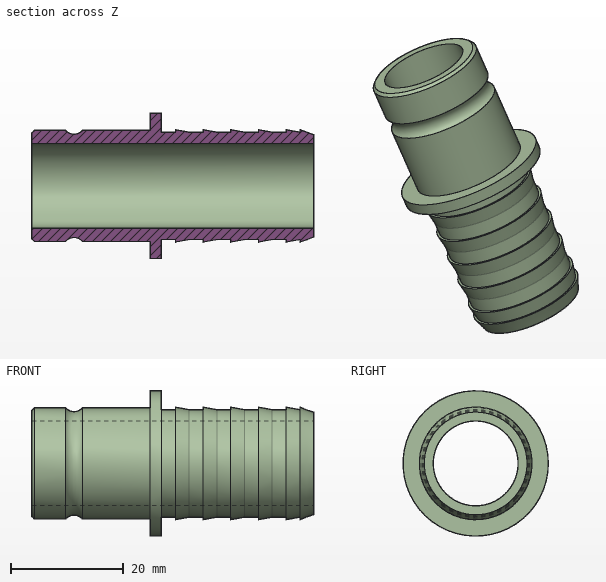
import cadquery as cq

length = 50.0
bore_radius = 7.5

plug_radius = 9.9
plug_chamfer = 0.5
groove_start = 6.0
groove_width = 3.0
groove_depth = 0.7

collar_start = 21.0
collar_width = 2.0
collar_radius = 12.9

tail_radius = 9.55
barb_crest_radius = 10.0
barb_count = 5

tip_radius = 9.1

groove_end = groove_start + groove_width
groove_middle = groove_start + groove_width / 2
groove_floor_radius = plug_radius - groove_depth
collar_end = collar_start + collar_width

tail_steps = 2 * barb_count + 1
barb_length = (length - collar_end) / tail_steps
barb_pitch = 2 * barb_length
first_barb_start = collar_end + barb_length
tip_start = first_barb_start + (barb_count - 1) * barb_pitch + barb_length


def add_plug(profile):
    """Chamfered mouth and a rounded seal groove, up to the collar."""
    return (
        profile.lineTo(0, plug_radius - plug_chamfer)
        .lineTo(plug_chamfer, plug_radius)
        .lineTo(groove_start, plug_radius)
        .threePointArc((groove_middle, groove_floor_radius), (groove_end, plug_radius))
        .lineTo(collar_start, plug_radius)
    )


def add_collar(profile):
    """Square-edged stop collar, down to the hose tail."""
    return (
        profile.lineTo(collar_start, collar_radius)
        .lineTo(collar_end, collar_radius)
        .lineTo(collar_end, tail_radius)
    )


def add_barbs(profile):
    """Evenly spaced sawtooth barbs followed by the tapered tip."""
    for index in range(barb_count):
        barb_start = first_barb_start + index * barb_pitch
        profile = (
            profile.lineTo(barb_start, tail_radius)
            .lineTo(barb_start, barb_crest_radius)
            .lineTo(barb_start + barb_length, tail_radius)
        )
    return profile.lineTo(tip_start, barb_crest_radius).lineTo(length, tip_radius)


half_section = cq.Workplane("XY").moveTo(0, bore_radius)
half_section = add_plug(half_section)
half_section = add_collar(half_section)
half_section = add_barbs(half_section)
half_section = half_section.lineTo(length, bore_radius).close()

result = half_section.revolve(360, (0, 0, 0), (1, 0, 0))